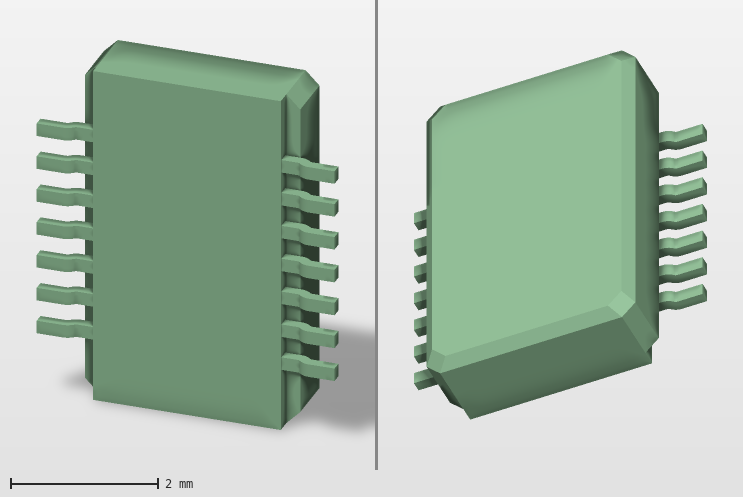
import cadquery as cq
import math

body_height = 5.0
lead_span = 4.3
total_depth = 1.2

core_width = 2.71
core_front = 0.055
corner_cut = 0.2
cover_width = core_width + 2 * corner_cut
cover_front = 0.28
back_bevel = 0.145

leads_per_side = 7
lead_pitch = 0.5
lead_width = 0.19
lead_thickness = 0.155
foot_length = 0.375
inner_bend_radius = 0.055
outer_bend_radius = inner_bend_radius + lead_thickness
bend_angle = math.radians(45)
lead_embed = 0.05


def cover_outline(inset):
    """Points of the corner-cut cover rectangle, drawn in by inset on every side."""
    half_x = cover_width / 2 - inset
    half_z = body_height / 2 - inset
    inner_x = half_x - corner_cut
    inner_z = half_z - corner_cut
    return [
        (half_x, inner_z), (inner_x, half_z), (-inner_x, half_z), (-half_x, inner_z),
        (-half_x, -inner_z), (-inner_x, -half_z), (inner_x, -half_z), (half_x, -inner_z),
    ]


def plane_at(y):
    """XZ work plane at the given Y, facing +Y (its local X runs along -X)."""
    return cq.Workplane(cq.Plane(origin=(0, y, 0), xDir=(-1, 0, 0), normal=(0, 1, 0)))


def make_body():
    bevel_start = total_depth - back_bevel
    core = plane_at(core_front).rect(core_width, body_height).extrude(bevel_start - core_front)
    cover = plane_at(cover_front).polyline(cover_outline(0)).close().extrude(bevel_start - cover_front)
    bevel = (
        plane_at(bevel_start).polyline(cover_outline(0)).close()
        .workplane(offset=back_bevel).polyline(cover_outline(back_bevel)).close()
        .loft(ruled=True)
    )
    return core.union(cover).union(bevel)


def arc_point(centre, radius, angle):
    """Point on an arc, with the angle measured from the -Y direction toward +X."""
    return (centre[0] + radius * math.sin(angle), centre[1] - radius * math.cos(angle))


def make_lead(z):
    """Left-hand lead: flat foot, two tangent bends, then a flat shoulder into the core."""
    tip_x = -lead_span / 2
    inner_end_x = -core_width / 2 + lead_embed
    bend_radii = inner_bend_radius + outer_bend_radius

    foot_centre = (tip_x + foot_length, outer_bend_radius)
    shoulder_centre = arc_point(foot_centre, bend_radii, bend_angle)
    level_out = math.pi
    turn_over = math.pi + bend_angle
    mid_turn = math.pi + bend_angle / 2
    shoulder_bottom = shoulder_centre[1] + inner_bend_radius
    shoulder_top = shoulder_bottom + lead_thickness

    return (
        cq.Workplane("XY", origin=(0, 0, z - lead_width / 2))
        .moveTo(tip_x, 0)
        .lineTo(foot_centre[0], 0)
        .threePointArc(
            arc_point(foot_centre, outer_bend_radius, bend_angle / 2),
            arc_point(foot_centre, outer_bend_radius, bend_angle),
        )
        .threePointArc(
            arc_point(shoulder_centre, inner_bend_radius, mid_turn),
            arc_point(shoulder_centre, inner_bend_radius, level_out),
        )
        .lineTo(inner_end_x, shoulder_bottom)
        .lineTo(inner_end_x, shoulder_top)
        .lineTo(shoulder_centre[0], shoulder_top)
        .threePointArc(
            arc_point(shoulder_centre, outer_bend_radius, mid_turn),
            arc_point(shoulder_centre, outer_bend_radius, turn_over),
        )
        .threePointArc(
            arc_point(foot_centre, inner_bend_radius, bend_angle / 2),
            arc_point(foot_centre, inner_bend_radius, 0),
        )
        .lineTo(tip_x, lead_thickness)
        .close()
        .extrude(lead_width)
    )


result = make_body()
for index in range(leads_per_side):
    lead_z = (index - (leads_per_side - 1) / 2) * lead_pitch
    left_lead = make_lead(lead_z)
    result = result.union(left_lead).union(left_lead.mirror("YZ"))